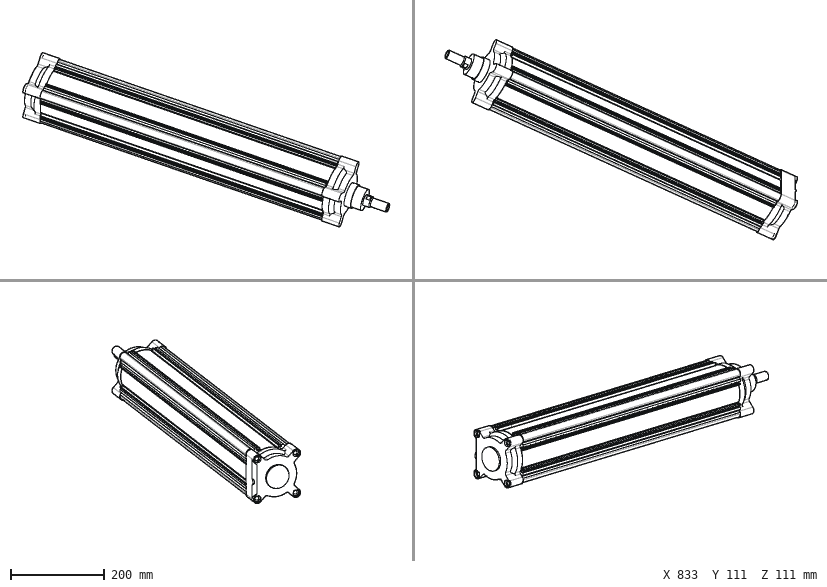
import cadquery as cq
import math

LENGTH = 833.0
SIZE = 111.0
REAR_BOSS_HEIGHT = 4.0
CAP_LENGTH = 40.0
FRONT_CAP_X = 701.0

LOBE_RADIUS = 10.0
LOBE_OFFSET = SIZE / 2 - LOBE_RADIUS
WAIST_RADIUS = 47.0
SHOULDER_RADIUS = 53.0
SHOULDER_LENGTH = 15.0
TAPER_LENGTH = 10.0
WEB_FILLET = 5.0

COUNTERBORE_RADIUS = 7.5
COUNTERBORE_DEPTH = 5.0
SCREW_HOLE_RADIUS = 4.0
SCREW_HOLE_DEPTH = 20.0
DRILL_POINT_ANGLE = 118.0

PLATE_CHAMFER_RUN = 7.0
BOSS_RADIUS = 9.0
BOSS_Z = -7.0
BOSS_SETBACK = 12.5

PILOT_RADIUS = 27.0
FRONT_PILOT_LENGTH = 15.0
NOSE_RADIUS = 24.0
NOSE_LENGTH = 22.5

TUBE_HALF = 54.0
TUBE_CORNER_RADIUS = 10.0
BULGE_RADIUS = 52.5
BULGE_HALF_WIDTH = 19.0
RIB_INNER = 22.0
RELIEF_DEPTH = 7.0
SLOT_CENTRE = 27.0
SLOT_WIDTH = 4.0
SLOT_DEPTH = 4.0
VEE_CENTRE = 37.5
VEE_DEPTH = 3.0

COLLAR_RADIUS = 12.5
COLLAR_LENGTH = 17.5
COLLAR_CHAMFER = 3.0
COLLAR_FLAT_OFFSET = 12.0
COLLAR_FLAT_START = 4.0
COLLAR_FLAT_LENGTH = 8.0
STUD_RADIUS = 10.0
STUD_CHAMFER = 2.0

CORNERS = [(sy * LOBE_OFFSET, sz * LOBE_OFFSET) for sy in (-1, 1) for sz in (-1, 1)]


def yz_plane(x):
    """Sketch plane across the axis: local x is Y, local y is Z, normal is +X."""
    return cq.Workplane("YZ", origin=(x, 0, 0))


def disc(x, radius, length):
    return yz_plane(x).circle(radius).extrude(length)


def corner_arms(length):
    """Two crossed diagonal bars with round ends that form the four lobes."""
    bar_length = 2 * (math.hypot(LOBE_OFFSET, LOBE_OFFSET) + LOBE_RADIUS)
    rising, falling = [
        yz_plane(0).transformed(rotate=(0, 0, angle)).slot2D(bar_length, 2 * LOBE_RADIUS).extrude(length)
        for angle in (45, -45)
    ]
    return rising.union(falling)


def cap_section(x, radius, length):
    """Round body with the four lobes, filleted where each lobe side meets the cylinder."""
    section = disc(0, radius, length).union(corner_arms(length))
    along_diagonal = math.sqrt(radius ** 2 - LOBE_RADIUS ** 2)
    far = (along_diagonal + LOBE_RADIUS) / math.sqrt(2)
    near = (along_diagonal - LOBE_RADIUS) / math.sqrt(2)
    for side_y in (-1, 1):
        for side_z in (-1, 1):
            for y, z in ((far, near), (near, far)):
                web_edge = cq.selectors.NearestToPointSelector((length / 2, side_y * y, side_z * z))
                section = section.edges("|X").edges(web_edge).fillet(WEB_FILLET)
    return section.translate((x, 0, 0))


def cap_body():
    """End cap with its outer face at x = 0 and its tube face at x = CAP_LENGTH."""
    shoulder_x = CAP_LENGTH - SHOULDER_LENGTH
    taper_x = shoulder_x - TAPER_LENGTH
    taper = (
        cq.Workplane("XY")
        .polyline([(taper_x, 0), (taper_x, WAIST_RADIUS), (shoulder_x, SHOULDER_RADIUS), (shoulder_x, 0)])
        .close()
        .revolve(360, (0, 0, 0), (1, 0, 0))
    )
    waist = cap_section(0, WAIST_RADIUS, shoulder_x)
    shoulder = cap_section(shoulder_x, SHOULDER_RADIUS, SHOULDER_LENGTH)
    return waist.union(taper).union(shoulder)


def side_plate():
    """Plate that closes the +Y side between two lobes, chamfered at the outer face."""
    inner_y = LOBE_OFFSET - LOBE_RADIUS
    return (
        cq.Workplane("XY", origin=(0, 0, -LOBE_OFFSET))
        .polyline([
            (0, inner_y), (0, WAIST_RADIUS), (PLATE_CHAMFER_RUN, SIZE / 2),
            (CAP_LENGTH, SIZE / 2), (CAP_LENGTH, inner_y),
        ])
        .close()
        .extrude(2 * LOBE_OFFSET)
    )


def cable_boss():
    return cq.Workplane("XZ", origin=(BOSS_SETBACK, 0, BOSS_Z)).circle(BOSS_RADIUS).extrude(-SIZE / 2)


def screw_hole(y, z):
    """Counterbored blind hole with a conical bottom, open at x = 0."""
    point = SCREW_HOLE_RADIUS / math.tan(math.radians(DRILL_POINT_ANGLE / 2))
    return (
        cq.Workplane("XY", origin=(0, y, z))
        .polyline([
            (0, 0), (0, COUNTERBORE_RADIUS), (COUNTERBORE_DEPTH, COUNTERBORE_RADIUS),
            (COUNTERBORE_DEPTH, SCREW_HOLE_RADIUS), (SCREW_HOLE_DEPTH, SCREW_HOLE_RADIUS),
            (SCREW_HOLE_DEPTH + point, 0),
        ])
        .close()
        .revolve(360, (0, 0, 0), (1, 0, 0))
    )


def make_rear_cap():
    cap = cap_body().union(side_plate()).union(cable_boss())
    for y, z in CORNERS:
        cap = cap.cut(screw_hole(y, z))
    cap = cap.union(disc(-REAR_BOSS_HEIGHT, PILOT_RADIUS, REAR_BOSS_HEIGHT))
    return cap.translate((REAR_BOSS_HEIGHT, 0, 0))


def make_front_cap():
    cap = cap_body().mirror("YZ").translate((CAP_LENGTH, 0, 0))
    cap = cap.union(disc(CAP_LENGTH, PILOT_RADIUS, FRONT_PILOT_LENGTH))
    cap = cap.union(disc(CAP_LENGTH + FRONT_PILOT_LENGTH, NOSE_RADIUS, NOSE_LENGTH))
    return cap.translate((FRONT_CAP_X, 0, 0))


def side_groove_cutter(x, length):
    """Everything removed from the +Z side of the tube: centre relief, slots and vees."""
    floor = TUBE_HALF - RELIEF_DEPTH
    relief = yz_plane(x).center(0, floor + SIZE / 2).rect(2 * RIB_INNER, SIZE).extrude(length)
    bulge = disc(x, BULGE_RADIUS, length).intersect(
        yz_plane(x).rect(2 * BULGE_HALF_WIDTH, 2 * SIZE).extrude(length)
    )
    cutter = relief.cut(bulge)
    for side in (-1, 1):
        slot = (
            yz_plane(x)
            .center(side * SLOT_CENTRE, TUBE_HALF)
            .rect(SLOT_WIDTH, 2 * SLOT_DEPTH)
            .extrude(length)
        )
        vee = (
            yz_plane(x)
            .center(side * VEE_CENTRE, TUBE_HALF)
            .polyline([(-VEE_DEPTH, 0), (VEE_DEPTH, 0), (0, -VEE_DEPTH)])
            .close()
            .extrude(length)
        )
        cutter = cutter.union(slot).union(vee)
    return cutter


def make_profile_tube():
    start = REAR_BOSS_HEIGHT + CAP_LENGTH
    length = FRONT_CAP_X - start
    tube = yz_plane(start).rect(2 * TUBE_HALF, 2 * TUBE_HALF).extrude(length)
    tube = tube.edges("|X").fillet(TUBE_CORNER_RADIUS)
    cutter = side_groove_cutter(start, length)
    for quarter in range(4):
        tube = tube.cut(cutter.rotate((0, 0, 0), (1, 0, 0), 90 * quarter))
    return tube


def make_rod():
    start = FRONT_CAP_X + CAP_LENGTH + FRONT_PILOT_LENGTH + NOSE_LENGTH
    collar = disc(start, COLLAR_RADIUS, COLLAR_LENGTH).faces(">X").chamfer(COLLAR_CHAMFER)
    flat_centre = start + COLLAR_FLAT_START + COLLAR_FLAT_LENGTH / 2
    flat_cut_z = COLLAR_FLAT_OFFSET + COLLAR_RADIUS / 2
    for side in (-1, 1):
        cutter = cq.Workplane("XY", origin=(flat_centre, 0, side * flat_cut_z))
        collar = collar.cut(cutter.box(COLLAR_FLAT_LENGTH, 2 * COLLAR_RADIUS, COLLAR_RADIUS))
    stud = disc(start, STUD_RADIUS, LENGTH - start).faces(">X").chamfer(STUD_CHAMFER)
    return collar.union(stud)


rear_cap = make_rear_cap()
profile_tube = make_profile_tube()
front_cap = make_front_cap()
rod = make_rod()

result = cq.Compound.makeCompound([rear_cap.val(), profile_tube.val(), front_cap.val(), rod.val()])